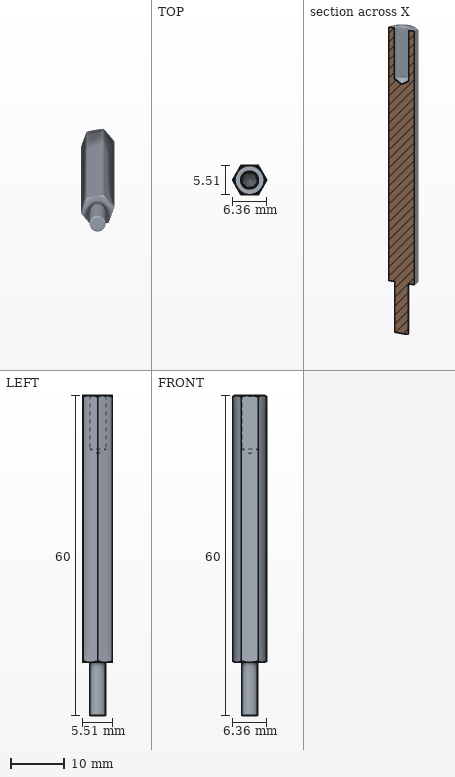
import cadquery as cq
import math

across_flats = 5.508
across_corners = across_flats / math.cos(math.radians(30))
body_length = 50.0
end_face_diameter = 5.5

bevel_angle = 30.0

thread_diameter = 3.0
stud_length = 10.0
stud_tip_diameter = 2.5

hole_diameter = thread_diameter
hole_depth = 10.0
drill_point_angle = 118.0
mouth_chamfer = 0.15


def height_of_bevel(width):
    """Axial height of a bevel that is `width` wide on the end face."""
    return width * math.tan(math.radians(bevel_angle))


def bevelled_envelope():
    """Cylinder around the hexagon with both ends coned down to the end face circle."""
    corner_radius = across_corners / 2
    end_radius = end_face_diameter / 2
    bevel_height = height_of_bevel(corner_radius - end_radius)
    return (
        cq.Workplane("XZ")
        .moveTo(0, 0)
        .lineTo(end_radius, 0)
        .lineTo(corner_radius, bevel_height)
        .lineTo(corner_radius, body_length - bevel_height)
        .lineTo(end_radius, body_length)
        .lineTo(0, body_length)
        .close()
        .revolve(360, (0, 0), (0, 1))
    )


def hex_body():
    """Hexagonal bar with its corners bevelled at both ends."""
    bar = cq.Workplane("XY").polygon(6, across_corners).extrude(body_length)
    return bar.intersect(bevelled_envelope())


def stud():
    """Round stud reaching down from the body, bevelled at its tip."""
    radius = thread_diameter / 2
    bevel_width = radius - stud_tip_diameter / 2
    return (
        cq.Workplane("XY")
        .circle(radius)
        .extrude(-stud_length)
        .faces("<Z")
        .chamfer(height_of_bevel(bevel_width), bevel_width)
    )


def blind_hole():
    """Cutter for the top hole: chamfered mouth, straight wall and drill cone."""
    radius = hole_diameter / 2
    cone_height = radius / math.tan(math.radians(drill_point_angle / 2))
    cone_start = body_length - hole_depth
    return (
        cq.Workplane("XZ")
        .moveTo(0, body_length)
        .lineTo(radius + mouth_chamfer, body_length)
        .lineTo(radius, body_length - mouth_chamfer)
        .lineTo(radius, cone_start)
        .lineTo(0, cone_start - cone_height)
        .close()
        .revolve(360, (0, 0), (0, 1))
    )


result = hex_body().union(stud()).cut(blind_hole())